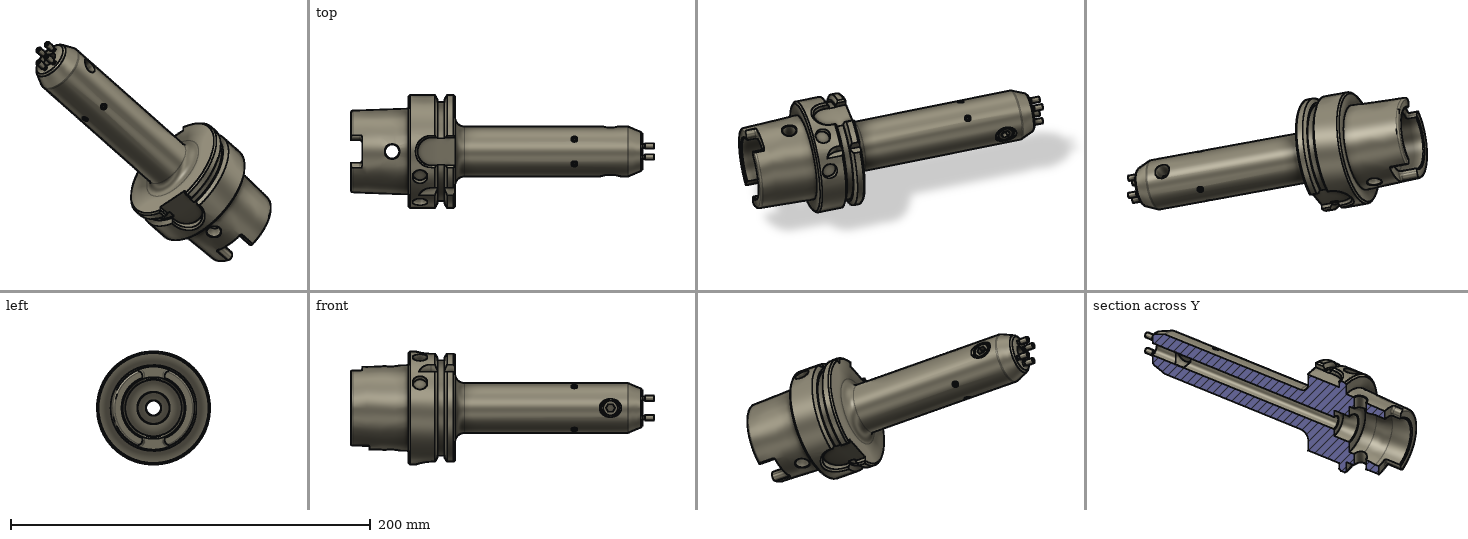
import cadquery as cq
import math

total_length = 168.5
nose_x = 162.0

taper_length = 32.0
taper_small_radius = 22.7
taper_large_radius = 24.0
taper_end_fillet = 1.2
cavity_radius = 17.2
cavity_mouth_chamfer = 0.7
cavity_straight_depth = 13.0
cavity_cone_end = 22.7
cavity_floor_radius = 15.7
cavity_depth = 30.0
coolant_seat_diameter = 17.5
coolant_seat_depth = 10.1
seat_chamfer = 0.3
bore_diameter = 8.1
access_hole_x = 22.9
access_hole_diameter = 7.7
access_hole_chamfer = 0.3

drive_slot_width = 12.5
upper_drive_slot_depth = 6.2
lower_drive_slot_depth = 10.3
drive_slot_flare_radius = 2.9
drive_slot_floor_fillet = 1.2
drive_slot_flare_start = 17.9

flange_radius = 31.5
flange_width = 26.0
flange_chamfer = 1.0
groove_offset = 18.0
groove_top_half_width = 3.4
groove_bottom_half_width = 1.9
groove_wedge_depth = 2.7
groove_depth = 3.9

keyway_floor_height = 26.6
keyway_end_offset = 5.0
upper_keyway_width = 15.5
lower_keyway_width = 18.0
keyway_chamfer = 1.2

notch_wall_distance = 20.2
notch_end_offset = 4.9
notch_end_radius = 7.5
pocket_offset = 6.4
pocket_diameter = 8.3
pocket_depth = 4.2
pocket_angles = (26.5, 63.5)

shank_radius = 14.0
shank_root_fillet = 5.0
nose_cone_x = 153.8
nose_cone_fillet = 1.7
nose_cone_end_radius = 11.0
nose_edge_length = 1.0
nose_face_radius = 9.8

clamp_x = 144.2
clamp_diameter = 10.1
clamp_countersink_radius = 6.0
clamp_screw_top = 13.1
clamp_screw_length = 6.7
clamp_screw_chamfer = 1.0
clamp_socket_width = 4.4
clamp_socket_depth = 3.4
relief_hole_diameter = 8.5

radial_angles = (60, 120, 240, 300)
plug_x = 124.1
plug_diameter = 3.4
plug_top = 13.5
plug_length = 3.0
plug_socket_width = 1.7
plug_socket_depth = 0.8
jet_circle_radius = 6.2
jet_neck_diameter = 2.4
jet_head_diameter = 3.2
jet_head_x = 163.2
jet_seat_depth = 3.4
jet_chamfer = 0.3

flange_x = taper_length
flange_end_x = flange_x + flange_width
hexagon_ratio = 2 / math.sqrt(3)
half_arc = math.sqrt(0.5)

overcut = 1.7
edge_margin = 0.2


def radial_plane(x, angle, distance=0.0):
    """Plane facing away from the axis, at an angle from +Y toward +Z."""
    y_part = math.cos(math.radians(angle))
    z_part = math.sin(math.radians(angle))
    return cq.Plane(
        origin=(x, distance * y_part, distance * z_part), xDir=(1, 0, 0), normal=(0, y_part, z_part)
    )


def turned(points):
    """Solid of revolution about the X axis from (x, radius) points."""
    return cq.Workplane("XY").polyline(points).close().revolve(360, (0, 0, 0), (1, 0, 0))


def taper_blank():
    """Taper with a rounded small end and the chamfered access hole across it."""
    blank = turned([
        (0, 0),
        (0, taper_small_radius),
        (taper_length, taper_large_radius),
        (taper_length, 0),
    ])
    blank = blank.faces("<X").edges().fillet(taper_end_fillet)
    access_hole = cq.Workplane("XY").center(access_hole_x, 0).circle(access_hole_diameter / 2)
    blank = blank.cut(access_hole.extrude(taper_large_radius + overcut, both=True))
    reach = access_hole_diameter
    rims = blank.edges(
        cq.selectors.BoxSelector(
            (access_hole_x - reach, -reach, -taper_large_radius),
            (access_hole_x + reach, reach, taper_large_radius),
        )
    )
    rim_edges = [edge for edge in rims.vals() if edge.geomType() not in ("LINE", "CIRCLE")]
    return blank.newObject(rim_edges).chamfer(access_hole_chamfer)


def shank_blank():
    root_radius = shank_radius + shank_root_fillet
    root_end_x = flange_end_x + shank_root_fillet
    arc_reach = shank_root_fillet * (1 - half_arc)
    outline = (
        cq.Workplane("XY")
        .moveTo(flange_end_x, 0)
        .lineTo(flange_end_x, root_radius)
        .threePointArc((flange_end_x + arc_reach, shank_radius + arc_reach), (root_end_x, shank_radius))
        .lineTo(nose_cone_x, shank_radius)
        .lineTo(nose_x - nose_edge_length, nose_cone_end_radius)
        .lineTo(nose_x, nose_face_radius)
        .lineTo(nose_x, 0)
        .close()
    )
    blank = outline.revolve(360, (0, 0, 0), (1, 0, 0))
    cone_edge = cq.selectors.BoxSelector(
        (nose_cone_x - edge_margin, -shank_radius - overcut, -shank_radius - overcut),
        (nose_cone_x + edge_margin, shank_radius + overcut, shank_radius + overcut),
    )
    return blank.edges("%CIRCLE").edges(cone_edge).fillet(nose_cone_fillet)


def keyway_cutter(width, side):
    """Round-ended slot that runs out through the nose side of the flange; side is +1 or -1 in Z."""
    centre_x = flange_x + keyway_end_offset + width / 2
    run_out = flange_end_x - centre_x + width
    height = side * (flange_radius - keyway_floor_height + overcut)
    plane = cq.Workplane("XY", origin=(0, 0, side * keyway_floor_height))
    round_end = plane.center(centre_x, 0).circle(width / 2).extrude(height)
    channel = plane.center(centre_x + run_out / 2, 0).rect(run_out, width).extrude(height)
    return round_end.union(channel)


def groove_cutter():
    centre_x = flange_x + groove_offset
    wedge_radius = flange_radius - groove_wedge_depth
    floor_radius = flange_radius - groove_depth
    outside = flange_radius + overcut
    half_profile = [
        (groove_bottom_half_width, floor_radius),
        (groove_bottom_half_width, wedge_radius),
        (groove_top_half_width, flange_radius),
        (groove_top_half_width, outside),
    ]
    left = [(centre_x - offset, radius) for offset, radius in half_profile]
    right = [(centre_x + offset, radius) for offset, radius in reversed(half_profile)]
    return turned(left + right)


def notch_cutter():
    reach = flange_radius
    length = flange_width
    corner = cq.Workplane("XY").box(length, reach, reach, centered=False)
    corner = corner.edges("|Z and <X and >Y").fillet(notch_end_radius)
    return corner.translate(
        (flange_x + notch_end_offset, -notch_wall_distance - reach, notch_wall_distance)
    )


def flange():
    body = cq.Workplane("YZ", origin=(flange_x, 0, 0)).circle(flange_radius).extrude(flange_width)
    body = body.cut(keyway_cutter(upper_keyway_width, 1))
    body = body.cut(keyway_cutter(lower_keyway_width, -1))
    rim = body.faces("%CYLINDER").edges(
        cq.selectors.BoxSelector(
            (flange_x + edge_margin, -flange_radius / 2, -flange_radius - overcut),
            (flange_end_x - edge_margin, flange_radius / 2, flange_radius + overcut),
        )
    )
    rim_edges = [edge for edge in rim.vals() if abs(edge.Center().z) > keyway_floor_height + edge_margin]
    body = body.newObject(rim_edges).chamfer(keyway_chamfer)
    envelope = cq.Workplane("YZ", origin=(flange_x, 0, 0)).circle(flange_radius).extrude(flange_width)
    body = body.intersect(envelope.edges().chamfer(flange_chamfer))
    body = body.cut(groove_cutter()).cut(notch_cutter())
    for angle in pocket_angles:
        plane = radial_plane(flange_x + pocket_offset, 180 - angle, flange_radius - pocket_depth)
        body = body.cut(cq.Workplane(plane).circle(pocket_diameter / 2).extrude(pocket_depth + overcut))
    return body


def cavity_cutter():
    seat_end_x = cavity_depth + coolant_seat_depth
    seat_radius = coolant_seat_diameter / 2
    bore_radius = bore_diameter / 2
    return turned([
        (0, 0),
        (0, cavity_radius + cavity_mouth_chamfer),
        (cavity_mouth_chamfer, cavity_radius),
        (cavity_straight_depth, cavity_radius),
        (cavity_cone_end, cavity_floor_radius),
        (cavity_depth, cavity_floor_radius),
        (cavity_depth, seat_radius + seat_chamfer),
        (cavity_depth + seat_chamfer, seat_radius),
        (seat_end_x, seat_radius),
        (seat_end_x, bore_radius + seat_chamfer),
        (seat_end_x + seat_chamfer, bore_radius),
        (nose_x, bore_radius),
        (nose_x, 0),
    ])


def drive_slot_cutter(depth):
    """Slot open at the +Z side whose walls flare outward in a convex arc."""
    half_width = drive_slot_width / 2
    radius = drive_slot_flare_radius
    flare_end = drive_slot_flare_start + radius
    arc_side = radius * (1 - half_arc)
    arc_rise = radius * half_arc
    arc_height = drive_slot_flare_start + arc_rise
    top = taper_large_radius + overcut
    slot = (
        cq.Workplane("YZ")
        .moveTo(-half_width, 0)
        .lineTo(half_width, 0)
        .lineTo(half_width, drive_slot_flare_start)
        .threePointArc((half_width + arc_side, arc_height), (half_width + radius, flare_end))
        .lineTo(half_width + radius, top)
        .lineTo(-half_width - radius, top)
        .lineTo(-half_width - radius, flare_end)
        .threePointArc((-half_width - arc_side, arc_height), (-half_width, drive_slot_flare_start))
        .close()
        .extrude(depth)
    )
    floor_corner = cq.selectors.BoxSelector(
        (depth - edge_margin, -half_width - radius, edge_margin),
        (depth + edge_margin, half_width + radius, flare_end - edge_margin),
    )
    return slot.edges(floor_corner).fillet(drive_slot_floor_fillet)


def clamp_hole_cutter():
    """Countersunk radial hole from the bore out through the -Y side."""
    radius = clamp_diameter / 2
    seat = shank_radius - (clamp_countersink_radius - radius)
    outside = shank_radius + overcut
    outline = [
        (0, 0),
        (radius, 0),
        (radius, -seat),
        (radius + outside - seat, -outside),
        (0, -outside),
    ]
    hole = cq.Workplane("XY").polyline(outline).close().revolve(360, (0, 0, 0), (0, 1, 0))
    return hole.translate((clamp_x, 0, 0))


def jet_position(angle):
    y = jet_circle_radius * math.cos(math.radians(angle))
    z = jet_circle_radius * math.sin(math.radians(angle))
    return y, z


def make_holder():
    body = taper_blank().union(flange()).union(shank_blank())
    body = body.cut(cavity_cutter())
    body = body.cut(drive_slot_cutter(upper_drive_slot_depth))
    body = body.cut(drive_slot_cutter(lower_drive_slot_depth).rotate((0, 0, 0), (1, 0, 0), 180))
    body = body.cut(clamp_hole_cutter())
    relief = cq.Workplane(radial_plane(clamp_x, 0)).circle(relief_hole_diameter / 2)
    body = body.cut(relief.extrude(shank_radius + overcut))
    for angle in radial_angles:
        plug_hole = cq.Workplane(radial_plane(plug_x, angle, plug_top - plug_length))
        body = body.cut(plug_hole.circle(plug_diameter / 2).extrude(plug_length + overcut))
        jet_hole = cq.Workplane("YZ", origin=(nose_x, 0, 0)).center(*jet_position(angle))
        body = body.cut(jet_hole.circle(jet_neck_diameter / 2).extrude(-jet_seat_depth))
    return body


def socket_screw(plane, diameter, length, socket_width, socket_depth):
    """Headless screw whose hexagon socket opens at the origin of the plane."""
    screw = cq.Workplane(plane).circle(diameter / 2).extrude(-length)
    socket = cq.Workplane(plane).polygon(6, socket_width * hexagon_ratio).extrude(-socket_depth)
    return screw.cut(socket)


def make_clamp_screw():
    plane = radial_plane(clamp_x, 180, clamp_screw_top)
    screw = socket_screw(
        plane, clamp_diameter, clamp_screw_length, clamp_socket_width, clamp_socket_depth
    )
    return screw.faces("<Y").edges("%CIRCLE").chamfer(clamp_screw_chamfer)


def make_plug_screw(angle):
    plane = radial_plane(plug_x, angle, plug_top)
    return socket_screw(plane, plug_diameter, plug_length, plug_socket_width, plug_socket_depth)


def make_jet(angle):
    y, z = jet_position(angle)
    neck_start = nose_x - jet_seat_depth
    neck = cq.Workplane("YZ", origin=(neck_start, y, z)).circle(jet_neck_diameter / 2)
    neck = neck.extrude(jet_head_x - neck_start)
    head = cq.Workplane("YZ", origin=(jet_head_x, y, z)).circle(jet_head_diameter / 2)
    head = head.extrude(total_length - jet_head_x).edges().chamfer(jet_chamfer)
    return neck.union(head)


holder = make_holder()
clamp_screw = make_clamp_screw()
plug_screws = [make_plug_screw(angle) for angle in radial_angles]
jets = [make_jet(angle) for angle in radial_angles]

result = cq.Compound.makeCompound(
    [holder.val(), clamp_screw.val()]
    + [screw.val() for screw in plug_screws]
    + [jet.val() for jet in jets]
)